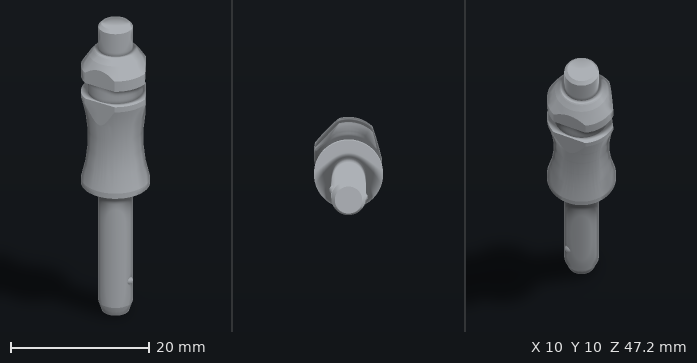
import cadquery as cq
import math

body_radius = 5.0
pin_radius = body_radius / 2
waist_radius = 4.0
neck_radius = waist_radius
cap_shoulder_radius = 3.8
cap_rim_outer_radius = 3.2
cap_rim_inner_radius = 3.05
tip_radius = 2.0

total_height = 47.2
taper_height = 1.55
ball_height = 5.45
handle_bottom = 20.95
handle_top = 36.05
handle_band = 0.85
cap_bottom = 38.6
cap_band_top = 40.3
cap_shoulder_height = 42.15
cap_rim_height = 42.9
cap_top = 43.05
button_chamfer = 0.45

ball_radius = 0.65
ball_reach = 2.85

flat_angles = (-90, 30, 150)
flat_distance = body_radius * math.cos(math.radians(30))


def make_turned_body():
    """Pin, waisted handle, neck, cap and button revolved about Z."""
    waist_height = (handle_bottom + handle_top) / 2
    return (
        cq.Workplane("XZ")
        .moveTo(0, 0)
        .lineTo(tip_radius, 0)
        .lineTo(pin_radius, taper_height)
        .lineTo(pin_radius, handle_bottom)
        .lineTo(body_radius, handle_bottom)
        .lineTo(body_radius, handle_bottom + handle_band)
        .threePointArc((waist_radius, waist_height), (body_radius, handle_top - handle_band))
        .lineTo(body_radius, handle_top)
        .lineTo(neck_radius, handle_top)
        .lineTo(neck_radius, cap_bottom)
        .lineTo(body_radius, cap_bottom)
        .lineTo(body_radius, cap_band_top)
        .lineTo(cap_shoulder_radius, cap_shoulder_height)
        .lineTo(cap_rim_outer_radius, cap_rim_height)
        .lineTo(cap_rim_inner_radius, cap_top)
        .lineTo(pin_radius, cap_top)
        .lineTo(pin_radius, total_height - button_chamfer)
        .lineTo(pin_radius - button_chamfer, total_height)
        .lineTo(0, total_height)
        .close()
        .revolve(360, (0, 0, 0), (0, 1, 0))
    )


def make_flat_cutter(angle):
    """Block outside one flat, spanning the upper half of the handle and the cap."""
    cutter_bottom = (handle_bottom + handle_top) / 2
    return (
        cq.Workplane("XY")
        .box(body_radius, 2 * body_radius, cap_top - cutter_bottom, centered=(False, True, False))
        .translate((flat_distance, 0, cutter_bottom))
        .rotate((0, 0, 0), (0, 0, 1), angle)
    )


def make_ball(side):
    """Locking ball half sunk in the pin; side is -1 or +1 along X."""
    center_x = side * (ball_reach - ball_radius)
    return cq.Workplane("XY").sphere(ball_radius).translate((center_x, 0, ball_height))


result = make_turned_body()
for flat_angle in flat_angles:
    result = result.cut(make_flat_cutter(flat_angle))
for ball_side in (-1, 1):
    result = result.union(make_ball(ball_side))